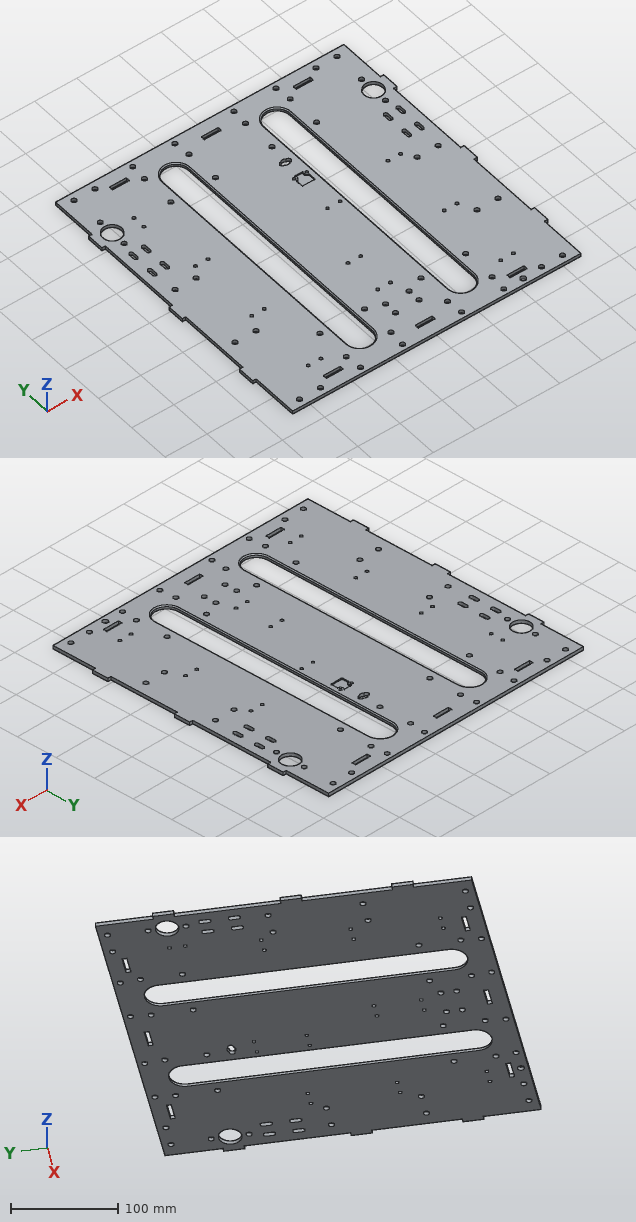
import cadquery as cq

thickness = 4.0
plate_width = 342.0
plate_length = 357.0
tab_depth = 4.0
tab_length = 20.0
tab_offset = 113.5
middle_tab_y = -7.5
tab_centers_y = [tab_offset, middle_tab_y, -tab_offset]

bolt_hole = 5.5
screw_hole = 3.5
pilot_hole = 3.1
round_opening = 22.0

long_slot_x = 60.0
long_slot_width = 30.2
long_slot_length = 306.5
long_slot_chamfer = 1.3
chamfer_angle = 45.0

slot_bolt_dx = 26.5
slot_bolt_rows_y = [152.0, 112.2]
edge_bolt_dx = 25.0
edge_bolt_y = 171.4

side_bolt_columns_x = [156.0, 131.1]
side_bolt_rows_y = [169.8, 17.5, -72.6, -169.8]

opening_x = 155.0
opening_y = tab_offset
opening_bolt_dy = 18.0

pair_pitch = 15.0

tab_slot_spacing = 109.0
tab_slot_y = 161.0
tab_slot_width = 4.5

cable_slot_x = 151.0
cable_slot_rows_y = [77.0, 49.0]
cable_slot_width = 4.5
cable_slot_length = 11.5

side_pair_x = 114.2
side_pair_rows_y = [30.5, -54.3, -139.4]
center_pair_rows_y = [-54.3, -99.2]
left_pair_x = -126.7
left_pair_y = 109.2

front_group_dx = 14.0
front_group_y = -126.6

sensor_x = 30.5
sensor_screw_rows_y = [65.4, 15.3]
recess_size = 15.0
recess_y = 60.5
recess_depth = 1.5
pad_diameter = 7.25
wire_opening_y = 88.2
wire_opening_diameter = 8.2
wire_slot_length = 13.0

front_hole_diameter = 6.4
front_hole_x = 108.0
front_hole_y = -171.5


def mirror_x(points):
    return points + [(-x, y) for x, y in points]


def mirror_y(points):
    return points + [(x, -y) for x, y in points]


def pair_along_x(x, y):
    return [(x - pair_pitch / 2, y), (x + pair_pitch / 2, y)]


def drill(body, points, diameter):
    holes = cq.Workplane("XY").pushPoints(points).circle(diameter / 2).extrude(thickness)
    return body.cut(holes)


def make_plate():
    plate = cq.Workplane("XY").rect(plate_width, plate_length).extrude(thickness)
    tabs = (
        cq.Workplane("XY")
        .pushPoints([(0, y) for y in tab_centers_y])
        .rect(plate_width + 2 * tab_depth, tab_length)
        .extrude(thickness)
    )
    return plate.union(tabs)


def cut_long_slots(body):
    centers = [(-long_slot_x, 0), (long_slot_x, 0)]
    top_width = long_slot_width + 2 * long_slot_chamfer
    top_length = long_slot_length + 2 * long_slot_chamfer
    slots = cq.Workplane("XY").pushPoints(centers).slot2D(long_slot_length, long_slot_width, 90)
    body = body.cut(slots.extrude(thickness))
    for x, y in centers:
        flare = (
            cq.Workplane("XY", origin=(x, y, thickness))
            .slot2D(top_length, top_width, 90)
            .extrude(-long_slot_chamfer, taper=chamfer_angle)
        )
        body = body.cut(flare)
    return body


def drill_bolt_holes(body):
    slot_bolts = []
    for side in (-1, 1):
        slot_bolts += [(long_slot_x + side * slot_bolt_dx, y) for y in slot_bolt_rows_y]
        slot_bolts.append((long_slot_x + side * edge_bolt_dx, edge_bolt_y))
    side_bolts = [(x, y) for x in side_bolt_columns_x for y in side_bolt_rows_y]
    opening_bolts = [(opening_x, opening_y + dy) for dy in (-opening_bolt_dy, opening_bolt_dy)]
    front_group = [(front_group_dx, front_group_y + dy) for dy in (-pair_pitch / 2, pair_pitch / 2)]
    points = mirror_x(mirror_y(slot_bolts) + side_bolts + opening_bolts + front_group)
    return drill(body, points, bolt_hole)


def cut_round_openings(body):
    return drill(body, mirror_x([(opening_x, opening_y)]), round_opening)


def cut_tab_slots(body):
    points = mirror_y([(column * tab_slot_spacing, tab_slot_y) for column in (-1, 0, 1)])
    slots = cq.Workplane("XY").pushPoints(points).rect(tab_length, tab_slot_width)
    return body.cut(slots.extrude(thickness))


def cut_cable_slots(body):
    points = []
    for y in cable_slot_rows_y:
        points += mirror_x(pair_along_x(cable_slot_x, y))
    slots = cq.Workplane("XY").pushPoints(points).slot2D(cable_slot_length, cable_slot_width, 90)
    return body.cut(slots.extrude(thickness))


def drill_screw_holes(body):
    points = []
    for y in side_pair_rows_y:
        points += mirror_x(pair_along_x(side_pair_x, y))
    for y in center_pair_rows_y:
        points += pair_along_x(0, y)
    points += [(left_pair_x, left_pair_y + dy) for dy in (-pair_pitch / 2, pair_pitch / 2)]
    return drill(body, points, screw_hole)


def cut_sensor_mount(body):
    screws = []
    for y in sensor_screw_rows_y:
        screws += pair_along_x(sensor_x, y)
    floor_z = thickness - recess_depth
    recess = (
        cq.Workplane("XY", origin=(sensor_x, recess_y, floor_z))
        .rect(recess_size, recess_size)
        .extrude(recess_depth)
    )
    body = body.cut(drill(recess, pair_along_x(sensor_x, sensor_screw_rows_y[0]), pad_diameter))
    body = drill(body, screws, pilot_hole)

    wire = cq.Workplane("XY").center(sensor_x, wire_opening_y)
    body = body.cut(wire.slot2D(wire_slot_length, bolt_hole).extrude(thickness))
    return drill(body, [(sensor_x, wire_opening_y)], wire_opening_diameter)


def drill_front_hole(body):
    return drill(body, [(front_hole_x, front_hole_y)], front_hole_diameter)


result = make_plate()
result = cut_long_slots(result)
result = drill_bolt_holes(result)
result = cut_round_openings(result)
result = cut_tab_slots(result)
result = cut_cable_slots(result)
result = drill_screw_holes(result)
result = cut_sensor_mount(result)
result = drill_front_hole(result)